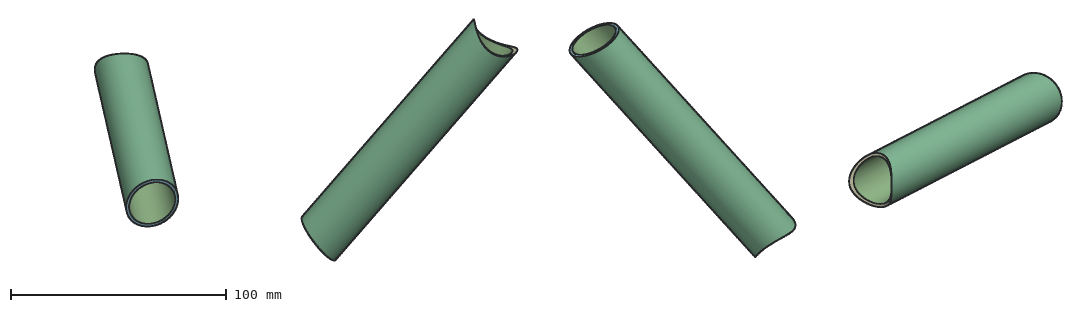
import cadquery as cq

TUBE_DIAMETER = 25.0
WALL = 1.5
TUBE_RADIUS = TUBE_DIAMETER / 2
AXIS_POINT = cq.Vector(0, 0.63, -0.27)
TUBE_DIRECTION = cq.Vector(1, -0.2262, 0.0719)
BLANK_LENGTH = 200.0

SADDLE_RADIUS = 15.75
SADDLE_POINT = cq.Vector(-71.93, 17.53, 0)
SADDLE_DIRECTION = cq.Vector(0.1216, 0.0454, 1)
SADDLE_LENGTH = 120.0

MITRE_POINT = cq.Vector(66.03, 0, 0)
MITRE_NORMAL = cq.Vector(1, 0.0023, 0.0238)
TRIM_SIZE = 100.0


def centred_cylinder(radius, length, point, direction):
    """Cylinder of the given length, centred on a point and lying along a direction."""
    start = point - direction.normalized() * (length / 2)
    return cq.Workplane(cq.Solid.makeCylinder(radius, length, start, direction))


def tube_blank():
    """Straight round tube, longer than the finished part at both ends."""
    outside = centred_cylinder(TUBE_RADIUS, BLANK_LENGTH, AXIS_POINT, TUBE_DIRECTION)
    bore = centred_cylinder(TUBE_RADIUS - WALL, BLANK_LENGTH, AXIS_POINT, TUBE_DIRECTION)
    return outside.cut(bore)


def saddle_cutter():
    """Crossing cylinder together with a block that clears the stock beyond its axis."""
    cylinder = centred_cylinder(SADDLE_RADIUS, SADDLE_LENGTH, SADDLE_POINT, SADDLE_DIRECTION)
    stock_side = cq.Plane(SADDLE_POINT, normal=-TUBE_DIRECTION)
    clearance = cq.Workplane(stock_side).rect(TRIM_SIZE, TRIM_SIZE).extrude(TRIM_SIZE)
    return cylinder.union(clearance)


def mitre_cutter():
    """Block beyond the flat end plane."""
    end_plane = cq.Plane(MITRE_POINT, normal=MITRE_NORMAL)
    return cq.Workplane(end_plane).rect(TRIM_SIZE, TRIM_SIZE).extrude(TRIM_SIZE)


result = tube_blank().cut(saddle_cutter()).cut(mitre_cutter())